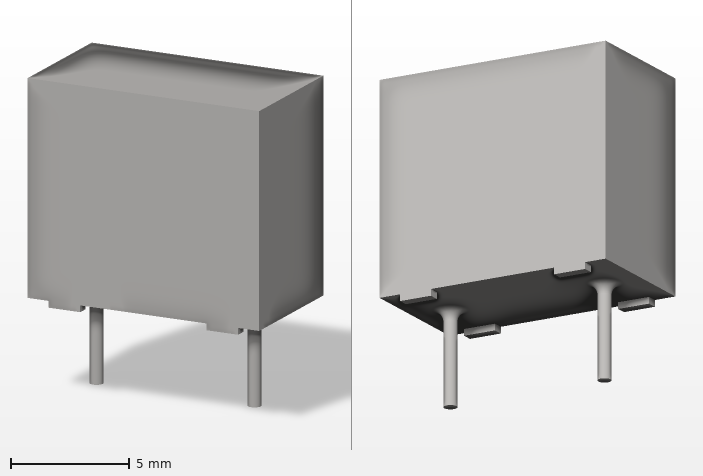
import math

import cadquery as cq

body_length = 11.0
body_width = 6.0
height_above_seat = 10.0

foot_height = 0.3
foot_length = 1.5
foot_width = 0.5

lead_pitch = 7.5
lead_diameter = 0.6
lead_length_below_seat = 4.0
flare_radius = 0.5

lead_radius = lead_diameter / 2
lead_positions = (-lead_pitch / 2, lead_pitch / 2)
underside_z = foot_height
body_height = height_above_seat - foot_height


def make_body():
    """Rectangular case, from the underside to the top cover."""
    base = cq.Workplane("XY").workplane(offset=underside_z)
    return base.rect(body_length, body_width).extrude(body_height)


def make_feet():
    """Four standoffs, in line with the leads and flush with the long sides."""
    foot_y = (body_width - foot_width) / 2
    centres = [(x, y) for x in lead_positions for y in (-foot_y, foot_y)]
    return cq.Workplane("XY").pushPoints(centres).rect(foot_length, foot_width).extrude(foot_height)


def make_lead(x):
    """Round lead with its flared root, turned about a vertical axis at the given X."""
    arc_middle_offset = flare_radius * (1 - math.cos(math.radians(45)))
    profile = (
        cq.Workplane("XZ")
        .moveTo(0, -lead_length_below_seat)
        .lineTo(lead_radius, -lead_length_below_seat)
        .lineTo(lead_radius, underside_z - flare_radius)
        .threePointArc(
            (lead_radius + arc_middle_offset, underside_z - arc_middle_offset),
            (lead_radius + flare_radius, underside_z),
        )
        .lineTo(0, underside_z)
        .close()
    )
    lead = profile.revolve(360, (0, 0, 0), (0, 1, 0))
    return lead.translate((x, 0, 0))


result = make_body().union(make_feet())
for lead_x in lead_positions:
    result = result.union(make_lead(lead_x))